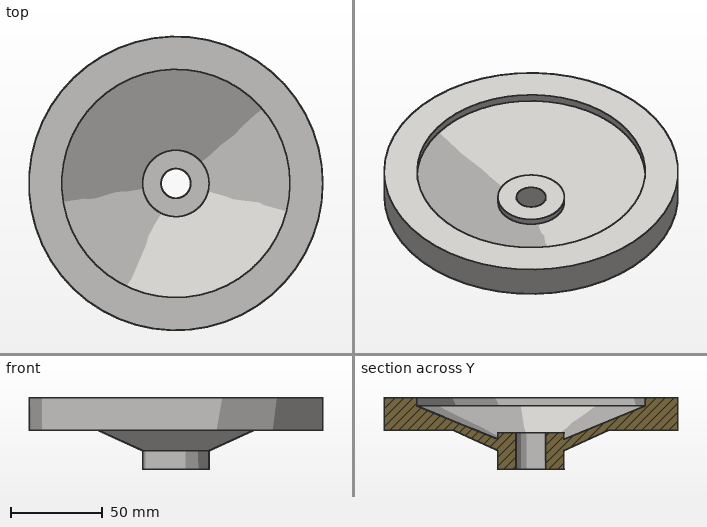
import cadquery as cq

rim_radius = 80.0
rim_inner_radius = 62.0
rim_height = 18.0

total_height = 39.0
hub_radius = 18.0
hub_height = 20.0
bore_radius = 8.0

web_bottom_height = 10.0
web_outer_radius = 42.2
hub_step = 3.5
rim_step = 4.5

rim_bottom = total_height - rim_height

half_section = [
    (bore_radius, 0),
    (hub_radius, 0),
    (hub_radius, web_bottom_height),
    (web_outer_radius, rim_bottom),
    (rim_radius, rim_bottom),
    (rim_radius, total_height),
    (rim_inner_radius, total_height),
    (rim_inner_radius, total_height - rim_step),
    (hub_radius, hub_height - hub_step),
    (hub_radius, hub_height),
    (bore_radius, hub_height),
]

result = cq.Workplane("XZ").polyline(half_section).close().revolve(360, (0, 0), (0, 1))